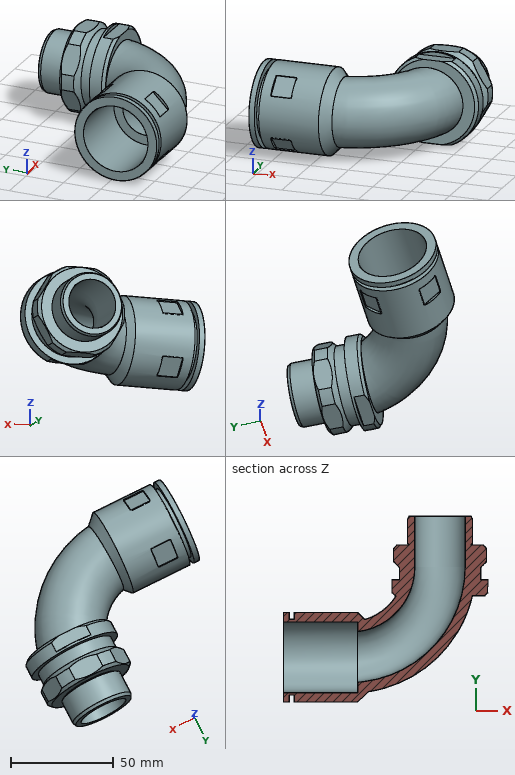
import cadquery as cq
import math

SOCKET_D = 44.0
SOCKET_BORE_D = 34.5
RIM_END = 2.9
RIM_GROOVE_D = 37.3
RIM_GROOVE_END = 5.2
SOCKET_END = 36.3
CONE_LENGTH = 6.0

WINDOW_START = 10.3
WINDOW_LENGTH = 10.7
WINDOW_WIDTH = 11.5
WINDOW_FLOOR = 20.6
WINDOW_CORNER_R = 0.5
WINDOW_COUNT = 4

OUTLET_X = 76.5
BEND_R = 44.0
ELBOW_D = 35.0
ELBOW_BORE_D = 24.5

FLANGE_START = 30.0
FLANGE_FLAT_END = 36.7
FLANGE_END = 38.0
FLANGE_D = 47.0
FLANGE_CHAMFER = 1.5
NECK_D = 40.0
NUT_START = 44.0
NUT_LOWER_EDGE = 46.7
NUT_UPPER_EDGE = 53.3
NUT_END = 54.9
NUT_D = 45.6
NUT_END_D = 42.4
ACROSS_FLATS = 43.0
HEX_SIDES = 6
UNDERCUT_D = 30.0
THREAD_START = 55.6
THREAD_D = 32.0
THREAD_CHAMFER_START = 67.4
THREAD_TIP_D = 30.5
OUTLET_END = 69.0


def outlet_turning(profile):
    """Revolve (diameter, Y) steps about the outlet axis."""
    points = [(OUTLET_X + diameter / 2, y) for diameter, y in profile]
    first_y = profile[0][1]
    last_y = profile[-1][1]
    points = [(OUTLET_X, first_y)] + points + [(OUTLET_X, last_y)]
    outline = cq.Workplane("XY").polyline(points).close()
    return outline.revolve(360, (OUTLET_X, 0, 0), (OUTLET_X, 1, 0))


def outlet_plane(y):
    """Plane across the outlet axis, facing +Y."""
    return cq.Workplane(cq.Plane((OUTLET_X, y, 0), xDir=(1, 0, 0), normal=(0, 1, 0)))


def bend(diameter):
    """Quarter torus that joins the two axes."""
    start = (OUTLET_X - BEND_R, 0, 0)
    section = cq.Workplane("YZ", origin=start).circle(diameter / 2)
    return section.revolve(90, (BEND_R, 0, 0), (BEND_R, 1, 0))


def make_socket():
    outer_r = SOCKET_D / 2
    groove_r = RIM_GROOVE_D / 2
    cone_end = SOCKET_END + CONE_LENGTH
    points = [
        (0, 0),
        (0, outer_r),
        (RIM_END, outer_r),
        (RIM_END, groove_r),
        (RIM_GROOVE_END, groove_r),
        (RIM_GROOVE_END, outer_r),
        (SOCKET_END, outer_r),
        (cone_end, outer_r - CONE_LENGTH),
        (cone_end, 0),
    ]
    outline = cq.Workplane("XY").polyline(points).close()
    return outline.revolve(360, (0, 0, 0), (1, 0, 0))


def cut_windows(body):
    cutter = (
        cq.Workplane("XY", origin=(WINDOW_START + WINDOW_LENGTH / 2, 0, WINDOW_FLOOR))
        .rect(WINDOW_LENGTH, WINDOW_WIDTH)
        .extrude(SOCKET_D / 2 - WINDOW_FLOOR)
        .edges("|Z")
        .fillet(WINDOW_CORNER_R)
    )
    step = 360 / WINDOW_COUNT
    for index in range(WINDOW_COUNT):
        body = body.cut(cutter.rotate((0, 0, 0), (1, 0, 0), step * (index + 0.5)))
    return body


def make_flange():
    flange = outlet_turning([
        (FLANGE_D - 2 * FLANGE_CHAMFER, FLANGE_START),
        (FLANGE_D, FLANGE_START + FLANGE_CHAMFER),
        (FLANGE_D, FLANGE_END),
    ])
    flats = outlet_plane(FLANGE_START).rect(FLANGE_D, ACROSS_FLATS)
    flatted = flange.intersect(flats.extrude(FLANGE_FLAT_END - FLANGE_START))
    lip = outlet_turning([(FLANGE_D, FLANGE_FLAT_END), (FLANGE_D, FLANGE_END)])
    return flatted.union(lip)


def make_nut():
    turned = outlet_turning([
        (NECK_D, NUT_START),
        (NUT_D, NUT_LOWER_EDGE),
        (NUT_D, NUT_UPPER_EDGE),
        (NUT_END_D, NUT_END),
    ])
    across_corners = ACROSS_FLATS / math.cos(math.pi / HEX_SIDES)
    hexagon = outlet_plane(NUT_START).polygon(HEX_SIDES, across_corners)
    return turned.intersect(hexagon.extrude(NUT_END - NUT_START))


def make_neck_and_spigot():
    return outlet_turning([
        (NECK_D, FLANGE_END),
        (NECK_D, NUT_START),
        (UNDERCUT_D, NUT_START),
        (UNDERCUT_D, NUT_END),
        (THREAD_D, THREAD_START),
        (THREAD_D, THREAD_CHAMFER_START),
        (THREAD_TIP_D, OUTLET_END),
    ])


def cut_bores(body):
    socket_bore = cq.Workplane("YZ").circle(SOCKET_BORE_D / 2).extrude(SOCKET_END)
    outlet_bore = outlet_plane(BEND_R).circle(ELBOW_BORE_D / 2).extrude(OUTLET_END - BEND_R)
    return body.cut(socket_bore).cut(bend(ELBOW_BORE_D)).cut(outlet_bore)


body = cut_windows(make_socket()).union(bend(ELBOW_D))
for outlet_piece in (make_flange(), make_neck_and_spigot(), make_nut()):
    body = body.union(outlet_piece)
result = cut_bores(body)